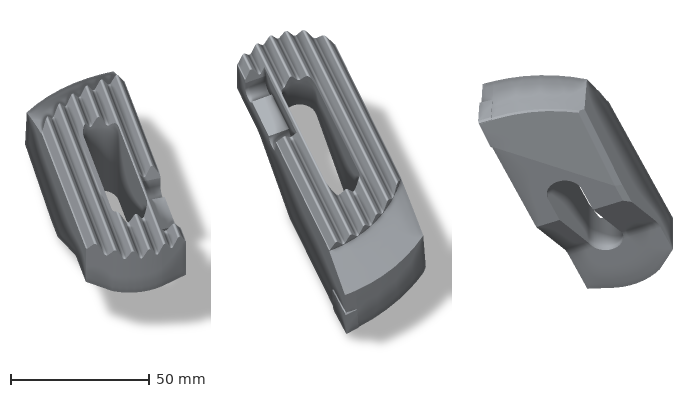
import cadquery as cq
import math

holder_length = 107.0
holder_width = 35.86
total_height = 37.4

tooth_pitch = 6.0
tooth_count = 6
tooth_depth = 3.85
tooth_flank_angle = math.radians(30)

foot_end_x = 54.1
tail_underside_z = 16.5
underside_slope = math.radians(30)
underside_blend_radius = 8.0

nose_axis_x = 62.4
nose_axis_y = 36.0
crown_radius = 45.0
crown_z = 33.0
shoulder_radius = 59.55
shoulder_z = 24.5
nose_relief = math.radians(5.8)
land_start_y = 31.5

clearance_back_x = 11.8
clearance_front_x = 48.4
clearance_slope = 0.113
nose_edge_chamfer = 0.6
front_edge_chamfer = 2.0

tail_front_x = holder_length - 10.3
tail_corner_x = holder_length - 3.2
tail_corner_y = 8.0
tail_middle_y = 20.0
tail_upper_x = holder_length - 0.9
tail_upper_y = 26.0
tail_back_x = holder_length - 4.35

slot_length = 51.6
slot_width = 13.05
slot_center_y = 20.2
notch_center_x = 81.2
notch_front_y = 28.0
notch_floor_z = 28.0
notch_floor_length = 15.8
notch_relief_radius = 2.98
notch_lead_in_depth = 5.5
notch_lead_in_tilt = math.radians(15)

insert_back_y = 36.36
insert_height = 13.8
insert_tilt = clearance_slope
insert_length = 12.45
insert_tip_z = 1.33
insert_corner_chamfer = 0.65
insert_side_relief = 0.1

overcut = 5.0


def nose_radius(z):
    """Radius of the relieved nose surface below the shoulder."""
    return shoulder_radius + (shoulder_z - z) * math.tan(nose_relief)


def side_blank():
    """Side outline of the holder, extruded over its width."""
    slope_end_x = foot_end_x + tail_underside_z / math.tan(underside_slope)
    blank = (
        cq.Workplane("XZ")
        .moveTo(-overcut, 0)
        .lineTo(foot_end_x, 0)
        .lineTo(slope_end_x, tail_underside_z)
        .lineTo(holder_length + overcut, tail_underside_z)
        .lineTo(holder_length + overcut, total_height)
        .lineTo(-overcut, total_height)
        .close()
        .extrude(-holder_width)
    )
    blend_edge = cq.selectors.NearestToPointSelector((slope_end_x, holder_width / 2, tail_underside_z))
    return blank.edges(blend_edge).fillet(underside_blend_radius)


def nose_envelope():
    """Turned nose surface on the left, open space to the right of the axis."""
    low_z = -overcut
    high_z = total_height + overcut
    turned = (
        cq.Workplane("XZ", origin=(nose_axis_x, nose_axis_y, 0))
        .moveTo(0, low_z)
        .lineTo(-nose_radius(low_z), low_z)
        .lineTo(-shoulder_radius, shoulder_z)
        .lineTo(-crown_radius, crown_z)
        .lineTo(-crown_radius, high_z)
        .lineTo(0, high_z)
        .close()
        .revolve(360, (0, 0, 0), (0, 1, 0))
    )
    right_side = (
        cq.Workplane("XY", origin=(nose_axis_x, -overcut, low_z))
        .box(holder_length, holder_width + 2 * overcut, high_z - low_z, centered=False)
    )
    return turned.union(right_side)


def land_cutter():
    """Flat land planed on the nose, below the shoulder, over the width of the insert."""
    offset = math.sqrt(shoulder_radius**2 - (nose_axis_y - land_start_y) ** 2)
    top_x = nose_axis_x - offset
    bottom_x = top_x - (shoulder_z + overcut) * math.tan(nose_relief)
    return (
        cq.Workplane("XZ", origin=(0, land_start_y, 0))
        .moveTo(top_x, shoulder_z)
        .lineTo(bottom_x, -overcut)
        .lineTo(-2 * overcut, -overcut)
        .lineTo(-2 * overcut, shoulder_z)
        .close()
        .extrude(-2 * overcut)
    )


def clearance_cutter():
    """Wedge below the tilted clearance face."""
    run_x = clearance_front_x - clearance_back_x
    crease_length = math.hypot(run_x, holder_width)
    slope = clearance_slope * crease_length / holder_width
    reach = 2 * crease_length
    crease = cq.Plane(
        origin=(clearance_back_x, holder_width, 0),
        xDir=(-holder_width, -run_x, 0),
        normal=(-run_x, holder_width, 0),
    )
    return (
        cq.Workplane(crease)
        .polyline([(0, 0), (reach, reach * slope), (reach, -overcut)])
        .close()
        .extrude(crease_length + reach, both=True)
    )


def tail_envelope():
    """Plan outline that rounds the tail end."""
    return (
        cq.Workplane("XY", origin=(0, 0, -overcut))
        .moveTo(-overcut, 0)
        .lineTo(tail_front_x, 0)
        .lineTo(tail_corner_x, tail_corner_y)
        .threePointArc((holder_length, tail_middle_y), (tail_upper_x, tail_upper_y))
        .lineTo(tail_back_x, holder_width)
        .lineTo(-overcut, holder_width)
        .close()
        .extrude(total_height + 2 * overcut)
    )


def serration_envelope():
    """Space below the serrated top: straight flanks joined by equal crest and root rounds."""
    sharp_depth = tooth_pitch / 2 / math.tan(tooth_flank_angle)
    round_radius = (sharp_depth - tooth_depth) / 2
    round_half = round_radius * math.cos(tooth_flank_angle)
    round_rise = round_radius * (1 - math.sin(tooth_flank_angle))
    root_z = total_height - tooth_depth
    flank_low_z = root_z + round_rise
    flank_high_z = total_height - round_rise

    outline = cq.Workplane("YZ", origin=(-overcut, 0, 0)).moveTo(-round_half, flank_low_z)
    for index in range(tooth_count):
        root_y = index * tooth_pitch
        crest_y = root_y + tooth_pitch / 2
        outline = (
            outline.threePointArc((root_y, root_z), (root_y + round_half, flank_low_z))
            .lineTo(crest_y - round_half, flank_high_z)
            .threePointArc((crest_y, total_height), (crest_y + round_half, flank_high_z))
            .lineTo(root_y + tooth_pitch - round_half, flank_low_z)
        )
    last_root_y = tooth_count * tooth_pitch
    return (
        outline.threePointArc((last_root_y, root_z), (last_root_y + round_half, flank_low_z))
        .lineTo(last_root_y + round_half, -overcut)
        .lineTo(-round_half, -overcut)
        .close()
        .extrude(holder_length + 2 * overcut)
    )


def slot_cutter():
    """Clamping slot through the full height."""
    return (
        cq.Workplane("XY", origin=(nose_axis_x, slot_center_y, -overcut))
        .slot2D(slot_length, slot_width)
        .extrude(total_height + 2 * overcut)
    )


def notch_cutter():
    """Notch open to the back: flared upright walls, half-round groove along each side of its floor."""
    half_floor = notch_floor_length / 2
    groove_x = half_floor + notch_relief_radius
    groove_z = notch_floor_z - notch_relief_radius
    wall_x = groove_x + notch_relief_radius
    wall_top_z = total_height - notch_lead_in_depth
    top_x = wall_x + notch_lead_in_depth * math.tan(notch_lead_in_tilt)
    return (
        cq.Workplane("XZ", origin=(notch_center_x, notch_front_y, 0))
        .moveTo(-half_floor, notch_floor_z)
        .lineTo(half_floor, notch_floor_z)
        .threePointArc((groove_x, groove_z), (wall_x, notch_floor_z))
        .lineTo(wall_x, wall_top_z)
        .lineTo(top_x, total_height)
        .lineTo(-top_x, total_height)
        .lineTo(-wall_x, wall_top_z)
        .lineTo(-wall_x, notch_floor_z)
        .threePointArc((-groove_x, groove_z), (-half_floor, notch_floor_z))
        .close()
        .extrude(-(holder_width - notch_front_y + overcut))
    )


def insert_outline(y):
    """Tilted rectangle with four chamfered corners; its face and lower edge draw back towards the front."""
    relief = insert_side_relief * (insert_back_y - y)
    chamfer = insert_corner_chamfer
    skew = chamfer * insert_tilt
    lean_x = (insert_height - insert_tip_z) * insert_tilt
    drop_z = insert_length * insert_tilt
    left_x = relief - skew
    right_x = insert_length
    low_left_z = insert_tip_z + relief
    low_right_z = low_left_z - drop_z
    high_right_z = insert_height - drop_z
    return [
        (left_x + chamfer, low_left_z - skew),
        (right_x - chamfer, low_right_z + skew),
        (right_x + skew, low_right_z + chamfer),
        (right_x + lean_x - skew, high_right_z - chamfer),
        (right_x + lean_x - chamfer, high_right_z + skew),
        (left_x + lean_x + chamfer, insert_height - skew),
        (left_x + lean_x - skew, insert_height - chamfer),
        (left_x + skew, low_left_z + chamfer),
    ]


def make_insert():
    """Cutting insert, lofted between its back and front outlines."""
    return (
        cq.Workplane("XZ", origin=(0, insert_back_y, 0))
        .polyline(insert_outline(insert_back_y))
        .close()
        .workplane(offset=insert_back_y - land_start_y)
        .polyline(insert_outline(land_start_y))
        .close()
        .loft(ruled=True)
    )


def chamfer_low_edges(holder):
    """Chamfers along the low front edge, flat and tilted parts alike, then along the low nose edge."""
    low_edge_top_z = clearance_slope * clearance_front_x
    margin = 1.0
    front_edges = cq.selectors.BoxSelector(
        (-overcut, -margin, -margin), (foot_end_x - margin, margin, low_edge_top_z)
    )
    holder = holder.edges(front_edges).chamfer(front_edge_chamfer)
    nose_edge = cq.selectors.BoxSelector(
        (0, margin + front_edge_chamfer, 0),
        (clearance_back_x, land_start_y, low_edge_top_z),
    )
    return holder.edges(nose_edge).chamfer(nose_edge_chamfer)


def make_holder(insert):
    """Serrated holder with slot, notch and a pocket that fits the insert."""
    holder = side_blank().intersect(nose_envelope()).cut(clearance_cutter())
    holder = chamfer_low_edges(holder)
    holder = holder.cut(land_cutter()).intersect(tail_envelope()).intersect(serration_envelope())
    holder = holder.cut(slot_cutter()).cut(notch_cutter())
    return holder.cut(insert)


insert = make_insert()
holder = make_holder(insert)
result = cq.Compound.makeCompound([holder.solids().val(), insert.val()])